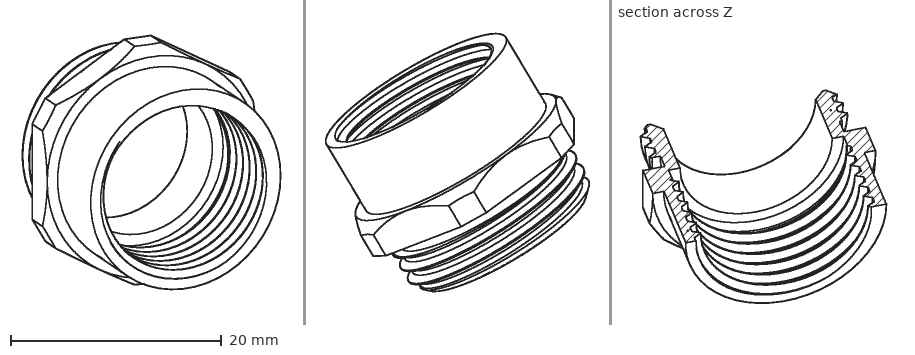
import cadquery as cq
import math

LENGTH = 17.0
BORE_DIAMETER = 15.0

ENTRY_DIAMETER = 17.0
ENTRY_DEPTH = 1.0
FACE_DIAMETER = 17.62

MALE_MAJOR_DIAMETER = 19.76
MALE_ROOT_DIAMETER = 18.21
MALE_FIRST_CREST = 0.3
MALE_LENGTH = 4.62
RELIEF_DIAMETER = 17.75

HEX_START = 6.05
HEX_END = 9.48
HEX_ACROSS_FLATS = 22.0
HEX_ACROSS_CUT_CORNERS = 23.8
HEX_BEVEL_LENGTH = 0.98

SOCKET_OUTER_DIAMETER = 19.83
SOCKET_FLOOR = 6.75
LEAD_DIAMETER = 17.25
LEAD_END = 8.05
FEMALE_ROOT_DIAMETER = 17.76
FEMALE_MINOR_DIAMETER = 16.3
FEMALE_FIRST_CREST = 8.9

PITCH = 1.5
CREST_WIDTH = 0.12
FLANK_SLOPE = math.tan(math.radians(30))
OVERLAP = 0.12


def cylinder(diameter, start, end):
    return cq.Workplane("YZ").workplane(offset=start).circle(diameter / 2).extrude(end - start)


def cone(start_diameter, end_diameter, start, end):
    """Solid cone frustum about the X axis."""
    outline = [(start, 0), (start, start_diameter / 2), (end, end_diameter / 2), (end, 0)]
    return cq.Workplane("XY").polyline(outline).close().revolve(360, (0, 0, 0), (1, 0, 0))


def helical_ridge(base_radius, tip_radius, start, turns):
    """Right-hand helical ridge about X, its tip on the -Z side at X = start."""
    half_tip = CREST_WIDTH / 2
    half_base = half_tip + abs(tip_radius - base_radius) * FLANK_SLOPE
    profile = [
        (base_radius, -half_base),
        (tip_radius, -half_tip),
        (tip_radius, half_tip),
        (base_radius, half_base),
    ]
    path = cq.Workplane(cq.Wire.makeHelix(PITCH, PITCH * turns, base_radius))
    ridge = cq.Workplane("XZ").polyline(profile).close().sweep(path, isFrenet=True)
    return ridge.rotate((0, 0, 0), (0, 1, 0), 90).translate((start, 0, 0))


def male_end():
    """Threaded spigot, bevelled at its mouth and cut square at the relief."""
    turns = math.ceil(MALE_LENGTH / PITCH) + 2
    ridge = helical_ridge(
        MALE_ROOT_DIAMETER / 2 - OVERLAP,
        MALE_MAJOR_DIAMETER / 2,
        MALE_FIRST_CREST - PITCH,
        turns,
    )
    threaded = cylinder(MALE_ROOT_DIAMETER, -2 * PITCH, MALE_LENGTH + 3 * PITCH).union(ridge)
    envelope = cone(FACE_DIAMETER, FACE_DIAMETER + 2 * MALE_LENGTH, 0, MALE_LENGTH)
    return threaded.intersect(envelope)


def hexagon():
    def prism(across_flats, turn):
        corner_diameter = across_flats / math.cos(math.pi / 6)
        plane = cq.Workplane("YZ").workplane(offset=HEX_START).transformed(rotate=(0, 0, turn))
        return plane.polygon(6, corner_diameter).extrude(HEX_END - HEX_START)

    body = prism(HEX_ACROSS_FLATS, 90).intersect(prism(HEX_ACROSS_CUT_CORNERS, 0))
    bevel_slope = (HEX_ACROSS_CUT_CORNERS - HEX_ACROSS_FLATS) / HEX_BEVEL_LENGTH
    start_diameter = HEX_ACROSS_FLATS + bevel_slope * (HEX_END - HEX_START)
    return body.intersect(cone(start_diameter, HEX_ACROSS_FLATS, HEX_START, HEX_END))


def female_thread():
    """Ring that lines the threaded stretch of the socket and carries the inward ridge."""
    turns = math.ceil((LENGTH - LEAD_END) / PITCH) + 2
    ridge = helical_ridge(
        FEMALE_ROOT_DIAMETER / 2 + OVERLAP,
        FEMALE_MINOR_DIAMETER / 2,
        FEMALE_FIRST_CREST - 2 * PITCH,
        turns,
    )
    ring_start = LEAD_END - 4 * PITCH
    ring_end = LENGTH + 4 * PITCH
    ring_diameter = (FEMALE_ROOT_DIAMETER + SOCKET_OUTER_DIAMETER) / 2
    ring = cylinder(ring_diameter, ring_start, ring_end)
    ring = ring.cut(cylinder(FEMALE_ROOT_DIAMETER, ring_start, ring_end))
    return ring.union(ridge).intersect(cylinder(SOCKET_OUTER_DIAMETER, LEAD_END, LENGTH))


outside = (
    male_end()
    .union(cylinder(RELIEF_DIAMETER, MALE_LENGTH, HEX_START))
    .union(hexagon())
    .union(cylinder(SOCKET_OUTER_DIAMETER, HEX_END, LENGTH))
)

result = (
    outside
    .cut(cylinder(BORE_DIAMETER, 0, LENGTH))
    .cut(cone(ENTRY_DIAMETER, BORE_DIAMETER, 0, ENTRY_DEPTH))
    .cut(cylinder(LEAD_DIAMETER, SOCKET_FLOOR, LEAD_END))
    .cut(cylinder(FEMALE_ROOT_DIAMETER, LEAD_END, LENGTH))
    .union(female_thread())
)